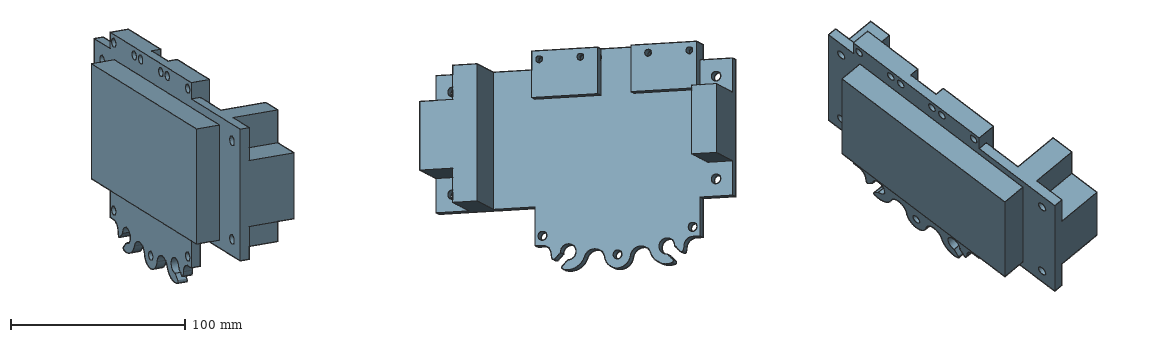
import cadquery as cq
import math


plate_width = 100.0
plate_height = 112.7
plate_thickness = 6.0

hook_offset = 29.9
hook_outer_radius = 10.5
hook_bore_radius = 4.7
hook_mouth_width = 6.3
hook_tip_radius = 1.0
mouth_angle = 45
lug_radius = 8.0
valley_radius = 6.3
shoulder_radius = 5.5

plate_hole_diameter = 5.2
top_hole_offsets = (12.5, 20.3, 45.5)
top_hole_drop = 5.0
low_hole_offset = 45.5
low_hole_height = 5.5

pad_width = 40.0
pad_height = 27.2
pad_thickness = 6.0
pad_hole_diameter = 4.0
pad_hole_offsets = (20.5, 45.5)

wing_length = 180.0
wing_overhang = 69.8
wing_height = 80.1
wing_drop = 9.9
wing_hole_diameter = 5.5
wing_hole_inset = 10.0
corner_height = 20.0
overall_depth = 50.0
left_block_width = 15.0
right_corner_width = 20.0
right_block_width = 35.0

display_width = 129.6
display_height = 70.0
display_depth = 15.0
display_left_inset = 25.0
display_drop = 15.1

plate_half_width = plate_width / 2
wing_left = -wing_overhang
wing_right = wing_left + wing_length
wing_top = plate_height - wing_drop
wing_bottom = wing_top - wing_height
block_depth = overall_depth - display_depth
hook_center = (hook_offset, -hook_bore_radius)
lug_center = (0.0, -lug_radius)


def box(x_min, x_max, y_min, y_max, z_min, z_max):
    """Axis-aligned block between the given limits."""
    size = (x_max - x_min, y_max - y_min, z_max - z_min)
    return cq.Workplane("XY").box(*size, centered=False).translate((x_min, y_min, z_min))


def cylinders(points, diameter, y_start, depth):
    """Round bars along +Y through the given (x, z) points."""
    plane = cq.Workplane("XZ", origin=(0, y_start, 0))
    return plane.pushPoints(points).circle(diameter / 2).extrude(-depth)


def toward(start, end, distance):
    """Point at a distance from start on the line to end."""
    ratio = distance / math.dist(start, end)
    return tuple(a + (b - a) * ratio for a, b in zip(start, end))


def arc_middle(center, radius, start, end):
    """Middle of the short arc from start to end."""
    chord_middle = tuple((a + b) / 2 for a, b in zip(start, end))
    return toward(center, chord_middle, radius)


def valley_center():
    """Centre of the valley arc that touches both the lug and the hook circle."""
    lug_reach = lug_radius + valley_radius
    hook_reach = hook_outer_radius + valley_radius
    spacing = math.dist(lug_center, hook_center)
    lug_angle = math.acos((lug_reach**2 + spacing**2 - hook_reach**2) / (2 * lug_reach * spacing))
    base_angle = math.atan2(hook_center[1] - lug_center[1], hook_center[0])
    angle = base_angle - lug_angle
    return (lug_center[0] + lug_reach * math.cos(angle), lug_center[1] + lug_reach * math.sin(angle))


def half_plate():
    """Right half of the carrier plate with hook disc, valley and half lug."""
    hook_reach = hook_outer_radius + shoulder_radius
    shoulder_rise = shoulder_radius - hook_bore_radius
    shoulder = (hook_offset + math.sqrt(hook_reach**2 - shoulder_rise**2), -shoulder_radius)
    valley = valley_center()

    shoulder_start = (shoulder[0], 0)
    hook_start = toward(hook_center, shoulder, hook_outer_radius)
    hook_end = toward(hook_center, valley, hook_outer_radius)
    hook_bottom = (hook_offset, hook_center[1] - hook_outer_radius)
    lug_start = toward(lug_center, valley, lug_radius)
    lug_bottom = (0, -2 * lug_radius)

    outline = (
        cq.Workplane("XZ")
        .moveTo(0, plate_height)
        .lineTo(plate_half_width, plate_height)
        .lineTo(plate_half_width, 0)
        .lineTo(*shoulder_start)
        .threePointArc(arc_middle(shoulder, shoulder_radius, shoulder_start, hook_start), hook_start)
        .threePointArc(hook_bottom, hook_end)
        .threePointArc(arc_middle(valley, valley_radius, hook_end, lug_start), lug_start)
        .threePointArc(arc_middle(lug_center, lug_radius, lug_start, lug_bottom), lug_bottom)
        .close()
    )
    return outline.extrude(-plate_thickness)


def hook_opening():
    """Bore of the right hook with its mouth running out down and away from the lug."""
    bore = cylinders([hook_center], 2 * hook_bore_radius, 0, plate_thickness)
    mouth_length = 2 * hook_outer_radius
    mouth = (
        box(0, mouth_length, 0, plate_thickness, -hook_mouth_width / 2, hook_mouth_width / 2)
        .rotate((0, 0, 0), (0, 1, 0), mouth_angle)
        .translate((hook_center[0], 0, hook_center[1]))
    )
    return bore.union(mouth)


def hook_tips():
    """(x, z) of the two sharp tips where the mouth sides meet the hook's outer circle."""
    half_mouth = hook_mouth_width / 2
    reach = math.sqrt(hook_outer_radius**2 - half_mouth**2)
    along_x = math.cos(math.radians(mouth_angle))
    along_z = math.sin(math.radians(mouth_angle))
    tips = []
    for side in (-half_mouth, half_mouth):
        x = hook_center[0] + reach * along_x + side * along_z
        z = hook_center[1] - reach * along_z + side * along_x
        tips.append((x, z))
    return tips


def make_plate():
    """Carrier plate with hooks, lug and filleted hook tips."""
    half = half_plate().cut(hook_opening())
    for x, z in hook_tips():
        tip_edge = cq.selectors.NearestToPointSelector((x, plate_thickness / 2, z))
        half = half.edges(tip_edge).fillet(hook_tip_radius)
    return half.union(half.mirror("YZ"))


def make_pads():
    """Spacer pads flush with the top corners of the plate, with their holes."""
    back = plate_thickness + pad_thickness
    pad = box(
        plate_half_width - pad_width, plate_half_width,
        plate_thickness, back,
        plate_height - pad_height, plate_height,
    )
    points = [(x, plate_height - top_hole_drop) for x in pad_hole_offsets]
    pad = pad.cut(cylinders(points, pad_hole_diameter, plate_thickness, pad_thickness))
    return pad.union(pad.mirror("YZ"))


def plate_holes():
    """Screw holes through the plate only: top row, lower corners and lug."""
    points = [lug_center]
    for side in (-1, 1):
        points += [(side * x, plate_height - top_hole_drop) for x in top_hole_offsets]
        points.append((side * low_hole_offset, low_hole_height))
    return cylinders(points, plate_hole_diameter, 0, plate_thickness)


def make_wing():
    """Wing panel with four screw holes and the blocks on its back."""
    panel = box(wing_left, wing_right, 0, plate_thickness, wing_bottom, wing_top)
    points = [
        (x, z)
        for x in (wing_left + wing_hole_inset, wing_right - wing_hole_inset)
        for z in (wing_bottom + wing_hole_inset, wing_top - wing_hole_inset)
    ]
    panel = panel.cut(cylinders(points, wing_hole_diameter, 0, plate_thickness))

    middle = (wing_bottom + corner_height, wing_top - corner_height)
    inner_right = wing_right - right_corner_width
    depth = (plate_thickness, block_depth)
    left_block = box(wing_left, wing_left + left_block_width, *depth, *middle)
    right_bar = box(wing_right - right_block_width, inner_right, *depth, wing_bottom, wing_top)
    right_block = box(inner_right, wing_right, *depth, *middle)
    return panel.union(left_block).union(right_bar).union(right_block)


def make_frame():
    """One-piece frame: carrier plate, spacer pads and wing panel."""
    return make_plate().cut(plate_holes()).union(make_pads()).union(make_wing())


def make_display():
    """Plain display box resting on the front face of the frame."""
    left = wing_left + display_left_inset
    top = plate_height - display_drop
    return box(left, left + display_width, -display_depth, 0, top - display_height, top)


frame = make_frame()
display = make_display()
result = cq.Compound.makeCompound([frame.val(), display.val()])